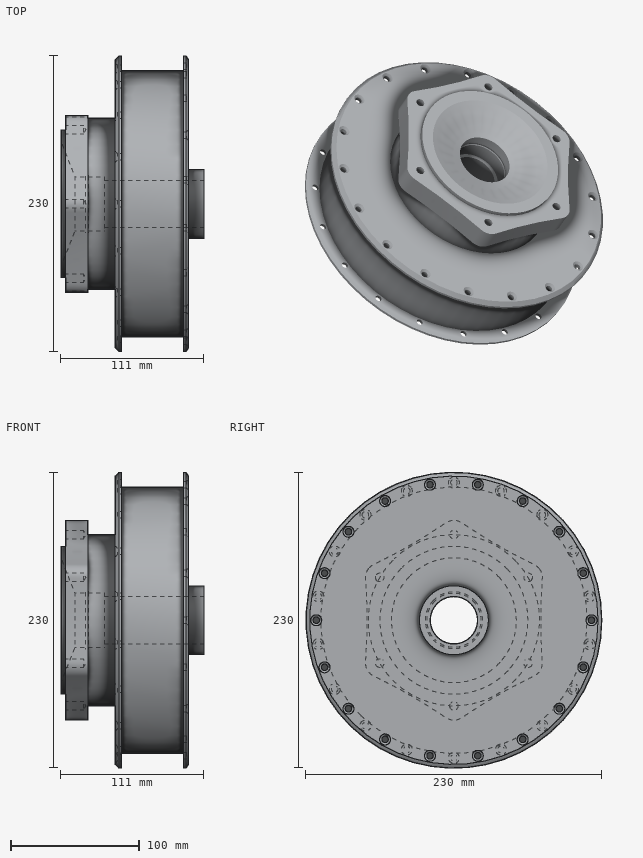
import cadquery as cq
import math


plate_front = 3.5
plate_back = 21.0
front_flange_face = 42.0
front_flange_back = 47.0
rear_flange_front = 95.0
rear_flange_face = 99.1
hub_end = 111.0

spigot_diameter = 115.0
boss_diameter = 133.2
flange_diameter = 230.0
drum_diameter = 207.0
hub_diameter = 53.5

chamfer_width = 3.0
front_chamfer_length = 3.0
rear_chamfer_length = 2.0

funnel_diameter = 97.0
funnel_depth = 10.8
seat_diameter = 42.0
bore_diameter = 36.5
groove_diameter = 44.5
groove_start = 18.9
groove_width = 2.3
seat_end = 33.8

corner_count = 6
corner_circle_radius = boss_diameter / 2
corner_radius = 11.0
side_distance = 67.5
plate_hole_diameter = 6.7
plate_hole_depth = 13.8
drill_tip_angle = 118.0

flange_hole_count = 18
flange_hole_circle_radius = 107.0
flange_hole_diameter = 5.0
countersink_diameter = 8.5
countersink_depth = 0.7


def on_circle(radius, angle):
    """Point (y, z) on a circle about the axis, with the angle in degrees from +Z."""
    a = math.radians(angle)
    return (radius * math.sin(a), radius * math.cos(a))


def revolved(profile):
    """Solid turned about the X axis from (x, radius) points."""
    return cq.Workplane("XY").polyline(profile).close().revolve(360, (0, 0, 0), (1, 0, 0))


def ring_of(hole, count, circle_radius, first_angle):
    """Copies of a hole on the X axis, spread evenly on a circle around that axis."""
    holes = cq.Workplane("XY")
    for i in range(count):
        y, z = on_circle(circle_radius, first_angle + i * 360 / count)
        holes = holes.add(hole.translate((0, y, z)))
    return holes.combine()


def turned_body():
    rim = flange_diameter / 2
    face_rim = rim - chamfer_width
    profile = [
        (0, 0),
        (0, spigot_diameter / 2),
        (plate_front, spigot_diameter / 2),
        (plate_front, boss_diameter / 2),
        (front_flange_face, boss_diameter / 2),
        (front_flange_face, face_rim),
        (front_flange_face + front_chamfer_length, rim),
        (front_flange_back, rim),
        (front_flange_back, drum_diameter / 2),
        (rear_flange_front, drum_diameter / 2),
        (rear_flange_front, rim),
        (rear_flange_face - rear_chamfer_length, rim),
        (rear_flange_face, face_rim),
        (rear_flange_face, hub_diameter / 2),
        (hub_end, hub_diameter / 2),
        (hub_end, 0),
    ]
    return revolved(profile)


def mounting_plate():
    step = 360 / corner_count
    half_side = corner_circle_radius * math.sin(math.radians(step / 2))
    centre_distance = corner_circle_radius * math.cos(math.radians(step / 2))
    inset = side_distance - centre_distance
    side_radius = (half_side**2 + inset**2 - corner_radius**2) / (2 * (corner_radius - inset))
    tilt = math.degrees(math.asin(half_side / (side_radius + corner_radius)))
    sweep = step / 2 + tilt

    def corner_point(corner_angle, turn):
        centre = on_circle(corner_circle_radius, corner_angle)
        offset = on_circle(corner_radius, corner_angle + turn)
        return (centre[0] + offset[0], centre[1] + offset[1])

    outline = cq.Workplane("YZ").workplane(offset=plate_front).moveTo(*corner_point(0, -sweep))
    for i in range(corner_count):
        angle = i * step
        outline = outline.threePointArc(corner_point(angle, 0), corner_point(angle, sweep))
        side_middle = on_circle(side_distance, angle + step / 2)
        outline = outline.threePointArc(side_middle, corner_point(angle + step, -sweep))
    return outline.close().extrude(plate_back - plate_front)


def bore():
    groove_end = groove_start + groove_width
    profile = [
        (0, 0),
        (0, funnel_diameter / 2),
        (funnel_depth, seat_diameter / 2),
        (groove_start, seat_diameter / 2),
        (groove_start, groove_diameter / 2),
        (groove_end, groove_diameter / 2),
        (groove_end, seat_diameter / 2),
        (seat_end, seat_diameter / 2),
        (seat_end, bore_diameter / 2),
        (hub_end, bore_diameter / 2),
        (hub_end, 0),
    ]
    return revolved(profile)


def plate_holes():
    """Blind holes with conical drill tips, one at each plate corner."""
    radius = plate_hole_diameter / 2
    hole_end = plate_front + plate_hole_depth
    tip_length = radius / math.tan(math.radians(drill_tip_angle / 2))
    profile = [
        (plate_front, 0),
        (plate_front, radius),
        (hole_end, radius),
        (hole_end + tip_length, 0),
    ]
    return ring_of(revolved(profile), corner_count, corner_circle_radius, 0)


def flange_holes(outer_face, inner_face, first_angle):
    """Through holes in one flange, countersunk from its outer face."""
    inward = math.copysign(2.3, inner_face - outer_face)
    radius = flange_hole_diameter / 2
    countersink_end = outer_face + inward * countersink_depth
    profile = [
        (outer_face, 0),
        (outer_face, countersink_diameter / 2),
        (countersink_end, radius),
        (inner_face, radius),
        (inner_face, 0),
    ]
    return ring_of(revolved(profile), flange_hole_count, flange_hole_circle_radius, first_angle)


half_hole_step = 180 / flange_hole_count

result = (
    turned_body()
    .union(mounting_plate())
    .cut(bore())
    .cut(plate_holes())
    .cut(flange_holes(front_flange_face, front_flange_back, 0))
    .cut(flange_holes(rear_flange_face, rear_flange_front, half_hole_step))
)